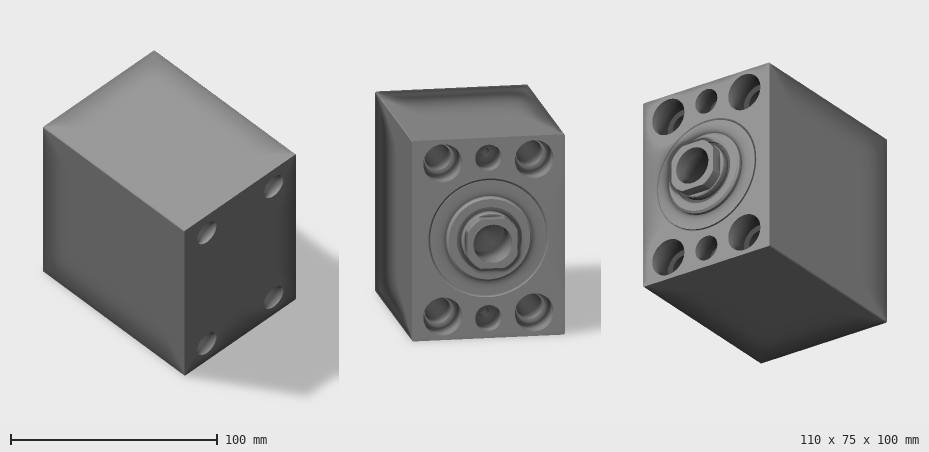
import cadquery as cq
import math

overall_length = 110.0
rod_protrusion = 11.8
housing_length = overall_length - rod_protrusion
housing_width = 75.0
housing_height = 100.0
edge_chamfer = 0.4

mount_diameter = 13.0
mount_head_diameter = 19.0
mount_head_depth = 13.0
mount_spacing_y = 45.0
mount_spacing_z = 76.5

port_diameter = 13.0
port_depth = 12.0
port_bore_diameter = 5.2
port_bore_depth = 10.0
port_spacing_z = 80.0

gland_diameter = 57.2
gland_depth = 22.0
seat_chamfer = 1.0
collar_diameter = 42.0
collar_length = 2.8
collar_chamfer = 1.0
wiper_recess_diameter = 32.0
wiper_recess_depth = 1.1

rod_diameter = 28.0
rod_chamfer = 0.5
tip_diameter = 27.4
tip_length = 5.8
tip_chamfer = 0.2
tip_across_flats = 24.4
rod_bore_diameter = 19.0
rod_bore_depth = 22.0
drill_point_angle = 118.0

tip_x = -rod_protrusion
shoulder_x = tip_x + tip_length
collar_x = -collar_length


def cylinder(x_start, length, diameter, y=0.0, z=0.0):
    """Cylinder along +X that starts at x_start."""
    plane = cq.Plane(origin=(x_start, y, z), xDir=(0, 1, 0), normal=(1, 0, 0))
    return cq.Workplane(plane).circle(diameter / 2).extrude(length)


def cone(x_start, length, start_radius, end_radius):
    """Cone or frustum along +X, centred on the rod axis."""
    solid = cq.Solid.makeCone(start_radius, end_radius, length, cq.Vector(x_start, 0, 0), cq.Vector(1, 0, 0))
    return cq.Workplane(obj=solid)


def stepped_hole(y, z, wide_diameter, wide_depth, narrow_diameter, total_depth):
    """Cutter for a counterbored hole entering the front face."""
    wide = cylinder(0, wide_depth, wide_diameter, y, z)
    return wide.union(cylinder(0, total_depth, narrow_diameter, y, z))


def make_housing():
    body = cq.Workplane("XY").box(housing_length, housing_width, housing_height, centered=(False, True, True))
    body = body.edges("|X").chamfer(edge_chamfer)

    gland_radius = gland_diameter / 2
    body = body.cut(cylinder(0, gland_depth, gland_diameter))
    body = body.cut(cone(0, seat_chamfer, gland_radius + seat_chamfer, gland_radius))

    for z_side in (-1, 1):
        port_z = z_side * port_spacing_z / 2
        port_total = port_depth + port_bore_depth
        body = body.cut(stepped_hole(0, port_z, port_diameter, port_depth, port_bore_diameter, port_total))
        for y_side in (-1, 1):
            mount_y = y_side * mount_spacing_y / 2
            mount_z = z_side * mount_spacing_z / 2
            body = body.cut(stepped_hole(
                mount_y, mount_z, mount_head_diameter, mount_head_depth, mount_diameter, housing_length))
    return body


def make_gland():
    collar = cylinder(collar_x, collar_length, collar_diameter).faces("<X").chamfer(collar_chamfer)
    body = collar.union(cylinder(0, gland_depth, gland_diameter))
    body = body.cut(cylinder(collar_x, collar_length + gland_depth, rod_diameter))
    return body.cut(cylinder(collar_x, wiper_recess_depth, wiper_recess_diameter))


def make_rod():
    shank = cylinder(shoulder_x, gland_depth - shoulder_x, rod_diameter).faces("<X").chamfer(rod_chamfer)

    tip = cylinder(tip_x, tip_length, tip_diameter).faces("<X").chamfer(tip_chamfer)
    flats = cq.Workplane("XY").box(tip_length, tip_across_flats, tip_across_flats, centered=(False, True, True))
    tip = tip.intersect(flats.translate((tip_x, 0, 0)))

    bore_radius = rod_bore_diameter / 2
    point_length = bore_radius / math.tan(math.radians(drill_point_angle / 2))
    body = shank.union(tip)
    body = body.cut(cylinder(tip_x, rod_bore_depth, rod_bore_diameter))
    return body.cut(cone(tip_x + rod_bore_depth, point_length, bore_radius, 0))


housing = make_housing()
gland = make_gland()
rod = make_rod()

result = cq.Compound.makeCompound([housing.val(), gland.val(), rod.val()])